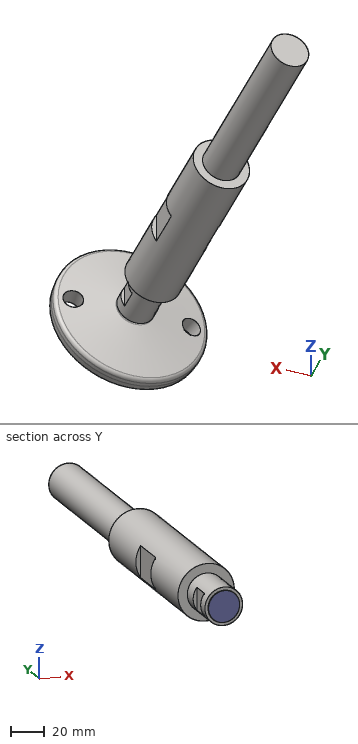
import cadquery as cq
import math


foot_diameter = 98.0
base_diameter = 97.0
taper_height = 4.2
rim_height = 7.0
shoulder_radius = 2.8
cone_slope = math.radians(9.8)
cone_top_diameter = 24.0
cone_edge_radius = foot_diameter / 2 - shoulder_radius * (1 - math.sin(cone_slope))
cone_edge_height = rim_height + shoulder_radius * math.cos(cone_slope)
cone_top_height = cone_edge_height + (cone_edge_radius - cone_top_diameter / 2) * math.tan(cone_slope)

hole_diameter = 12.5
hole_offset = 35.7
hole_drill_length = 55.5

total_length = 277.0
rod_diameter = 24.0
rod_start = 17.0
neck_diameter = 20.2
sleeve_diameter = 36.0
sleeve_start = 46.3
sleeve_length = 115.2

rod_flat_center = 30.2
rod_flat_length = 12.5
rod_flat_width = 19.5
sleeve_flat_center = sleeve_start + sleeve_length / 2
sleeve_flat_length = 25.0
sleeve_flat_width = 30.0


def cylinder(diameter, start, length):
    """Round bar along +Y, beginning at height start."""
    solid = cq.Solid.makeCylinder(diameter / 2, length, cq.Vector(0, start, 0), cq.Vector(0, 1, 0))
    return cq.Workplane(obj=solid)


def hole_cutter(side):
    """Drill for one fixing hole; it leans outward, square to the cone."""
    direction = cq.Vector(side * math.sin(cone_slope), math.cos(cone_slope), 0)
    start = cq.Vector(side * hole_offset, 0, 0) - direction * (hole_drill_length / 2)
    return cq.Workplane(obj=cq.Solid.makeCylinder(hole_diameter / 2, hole_drill_length, start, direction))


def make_foot():
    """Conical foot plate with a rounded shoulder, a flat top and two fixing holes."""
    rim_radius = foot_diameter / 2
    foot = (
        cq.Workplane("XY")
        .lineTo(base_diameter / 2, 0)
        .lineTo(rim_radius, taper_height)
        .lineTo(rim_radius, rim_height)
        .tangentArcPoint((cone_edge_radius, cone_edge_height), relative=False)
        .lineTo(cone_top_diameter / 2, cone_top_height)
        .lineTo(0, cone_top_height)
        .close()
        .revolve(360, (0, 0, 0), (0, 1, 0))
    )
    for side in (-1, 1):
        foot = foot.cut(hole_cutter(side))
    return foot


def cut_flats(bar, diameter, center, length, width):
    """Cut two opposite flats that leave the given width across them."""
    depth = (diameter - width) / 2
    for side in (-1, 1):
        cutter = cq.Workplane("XY").box(2 * depth, length, diameter)
        bar = bar.cut(cutter.translate((side * (width / 2 + depth), center, 0)))
    return bar


def make_spindle():
    """Rod on a short, narrower neck, with a thicker sleeve section and two pairs of wrench flats."""
    rod = cylinder(rod_diameter, rod_start, total_length - rod_start)
    rod = cut_flats(rod, rod_diameter, rod_flat_center, rod_flat_length, rod_flat_width)
    sleeve = cylinder(sleeve_diameter, sleeve_start, sleeve_length)
    sleeve = cut_flats(sleeve, sleeve_diameter, sleeve_flat_center, sleeve_flat_length, sleeve_flat_width)
    neck = cylinder(neck_diameter, cone_top_height, rod_start - cone_top_height)
    return rod.union(sleeve).union(neck)


foot = make_foot()
spindle = make_spindle()

result = cq.Compound.makeCompound([foot.val(), spindle.val()])